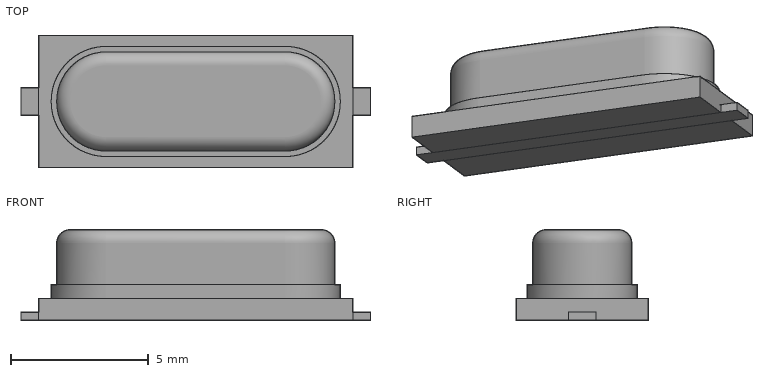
import cadquery as cq


overall_length = 12.7
overall_height = 3.3

base_length = 11.4
base_width = 4.8
base_height = 0.8

lead_width = 1.0
lead_height = 0.3

can_length = 10.1
can_width = 3.6
can_edge_radius = 0.5
can_height = overall_height - base_height
flange_overhang = 0.2
flange_height = 0.5
flange_length = can_length + 2 * flange_overhang
flange_width = can_width + 2 * flange_overhang


def block(length, width, height):
    """Rectangular block standing on Z = 0."""
    return cq.Workplane("XY").box(length, width, height, centered=(True, True, False))


def round_ended_block(length, width, height, bottom):
    """Upright block with half-round ends, standing at the given height."""
    return cq.Workplane("XY").workplane(offset=bottom).slot2D(length, width).extrude(height)


def make_lead_strip():
    return block(overall_length, lead_width, lead_height)


def make_base():
    plate = block(base_length, base_width, base_height)
    lead_channel = block(base_length, lead_width, lead_height)
    return plate.cut(lead_channel)


def make_can():
    cap = round_ended_block(can_length, can_width, can_height, base_height)
    cap = cap.faces(">Z").edges().fillet(can_edge_radius)
    flange = round_ended_block(flange_length, flange_width, flange_height, base_height)
    return cap.union(flange)


base = make_base()
can = make_can()
lead_strip = make_lead_strip()

result = cq.Compound.makeCompound([base.val(), can.val(), lead_strip.val()])